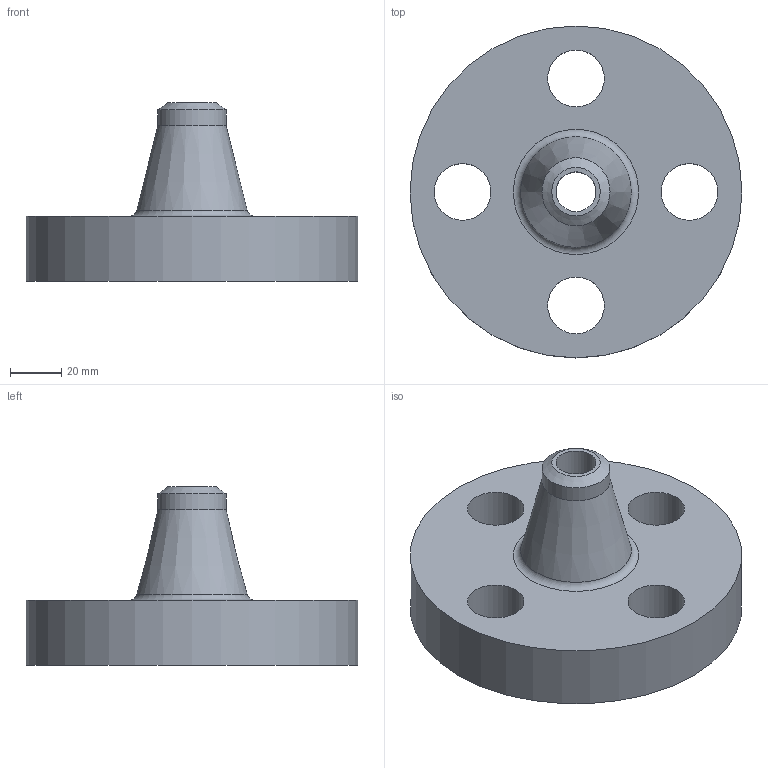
import cadquery as cq
import math

flange_diameter = 130.01
flange_thickness = 25.4
total_height = 69.85

bolt_hole_count = 4
bolt_hole_diameter = 22.2
bolt_circle_diameter = 88.9

bore_diameter = 15.6
neck_diameter = 26.7
neck_length = 8.9
hub_base_diameter = 44.4
hub_fillet_radius = 3.0

bevel_height = 2.7
tip_diameter = 19.0


def flange_disc():
    return cq.Workplane("XY").circle(flange_diameter / 2).extrude(flange_thickness)


def hub():
    """Revolved cone, straight neck and weld bevel, with a fillet onto the flange face."""
    base_radius = hub_base_diameter / 2
    neck_radius = neck_diameter / 2
    neck_bottom = total_height - neck_length

    cone_angle = math.atan2(neck_bottom - flange_thickness, base_radius - neck_radius)
    half_angle = cone_angle / 2
    tangent_length = hub_fillet_radius * math.tan(half_angle)
    fillet_outer_radius = base_radius + tangent_length
    fillet_top_radius = base_radius - tangent_length * math.cos(cone_angle)
    fillet_top_height = flange_thickness + tangent_length * math.sin(cone_angle)

    arc_mid_radius = fillet_outer_radius - hub_fillet_radius * math.sin(half_angle)
    arc_mid_height = flange_thickness + hub_fillet_radius * (1 - math.cos(half_angle))

    profile = (
        cq.Workplane("XZ")
        .moveTo(0, flange_thickness)
        .lineTo(fillet_outer_radius, flange_thickness)
        .threePointArc((arc_mid_radius, arc_mid_height), (fillet_top_radius, fillet_top_height))
        .lineTo(neck_radius, neck_bottom)
        .lineTo(neck_radius, total_height - bevel_height)
        .lineTo(tip_diameter / 2, total_height)
        .lineTo(0, total_height)
        .close()
    )
    return profile.revolve(360, (0, 0, 0), (0, 1, 0))


def bolt_holes():
    return (
        cq.Workplane("XY")
        .polarArray(bolt_circle_diameter / 2, 0, 360, bolt_hole_count)
        .circle(bolt_hole_diameter / 2)
        .extrude(flange_thickness)
    )


def bore():
    return cq.Workplane("XY").circle(bore_diameter / 2).extrude(total_height)


result = flange_disc().union(hub()).cut(bolt_holes()).cut(bore())